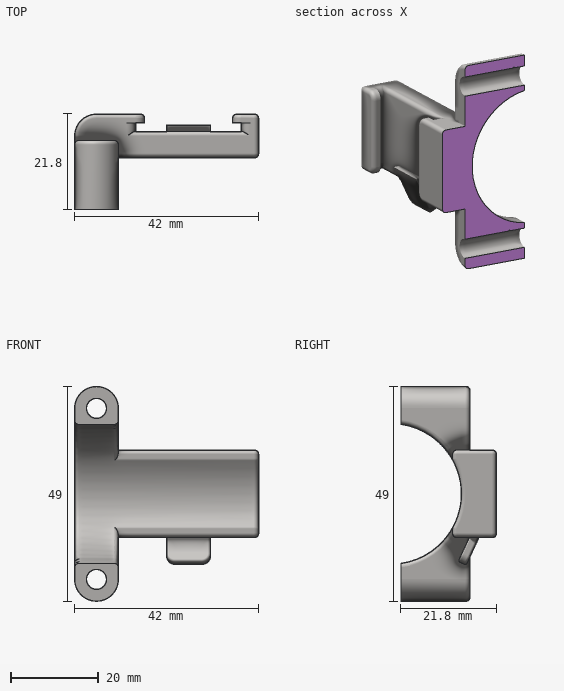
import cadquery as cq
import math

edge_round = 1.0

lug_radius = 5.0
lug_spacing = 39.0
saddle_width = 2 * lug_radius
saddle_depth = 15.8
screw_diameter = 4.5
bore_radius = 16.0
bore_wall = 2.0
bore_axis_y = saddle_depth - bore_wall - bore_radius

arm_length = 42.0
arm_height = 20.0
arm_thickness = 10.0
arm_back_step = 6.0
arm_back_y = saddle_depth + arm_back_step
arm_front_y = arm_back_y - arm_thickness
arm_side_z = arm_height / 2
arm_corner_radius = 5.0

slot_start_x = 14.0
slot_end_x = 38.0
slot_depth = 4.0
slot_floor_y = arm_back_y - slot_depth
wall_flare = 2.0
floor_flare = 1.0
hook_reach = 2.0
hook_thickness = 2.0
hook_inner_y = arm_back_y - hook_thickness
hook_corner_radius = 2.0
mouth_start_x = slot_start_x + hook_reach
mouth_end_x = slot_end_x - hook_reach

tab_start_x = 21.0
tab_width = 10.0
tab_thickness = 2.0
tab_tilt = 25.0
tab_hang = 6.9
tab_root = 2.0
tab_corner_radius = 2.0
tab_edge_round = 0.5
catch_rise = 1.5

pick_margin = 0.01


def arm_block(start_x, end_x, front_y, back_y):
    """Block as tall as the arm, centred on Z = 0."""
    block = cq.Workplane("XY").box(
        end_x - start_x, back_y - front_y, arm_height, centered=(False, False, True)
    )
    return block.translate((start_x, front_y, 0))


def make_saddle():
    """Upright plate with a full round at each end."""
    plate = cq.Workplane("XZ", origin=(lug_radius, 0, 0))
    return plate.slot2D(lug_spacing + saddle_width, saddle_width, 90).extrude(-saddle_depth)


def make_arm():
    """Plain arm with one large rounded corner behind the saddle."""
    arm = arm_block(0, arm_length, arm_front_y, arm_back_y)
    return arm.edges("<X and >Y").fillet(arm_corner_radius)


def make_bore():
    """Cylinder that hollows the saddle and the front of the arm."""
    bore = cq.Workplane("YZ", origin=(0, bore_axis_y, 0))
    return bore.circle(bore_radius).extrude(arm_length)


def flared_slot(plane, low, high, flare):
    """Outline from low to high, as tall as the arm, widened at both ends by quarter rounds."""
    straight_z = arm_side_z - flare
    bulge = flare * math.sqrt(0.5)
    return (
        cq.Workplane(plane)
        .moveTo(low, -straight_z)
        .lineTo(low, straight_z)
        .threePointArc((low - flare + bulge, straight_z + bulge), (low - flare, arm_side_z))
        .lineTo(high + flare, arm_side_z)
        .threePointArc((high + flare - bulge, straight_z + bulge), (high, straight_z))
        .lineTo(high, -straight_z)
        .threePointArc((high + flare - bulge, -straight_z - bulge), (high + flare, -arm_side_z))
        .lineTo(low - flare, -arm_side_z)
        .threePointArc((low - flare + bulge, -straight_z - bulge), (low, -straight_z))
        .close()
    )


def make_mouth():
    """Opening between the hooks, whose corners are rounded."""
    mouth = flared_slot("XZ", mouth_start_x, mouth_end_x, hook_corner_radius).extrude(-arm_back_y)
    return mouth.intersect(arm_block(0, arm_length, hook_inner_y, arm_back_y))


def make_undercut():
    """Wide part of the slot, flared in X by its walls and in Y by its floor."""
    walls = flared_slot("XZ", slot_start_x, slot_end_x, wall_flare).extrude(-arm_back_y)
    floor = flared_slot("YZ", slot_floor_y, arm_back_y, floor_flare).extrude(arm_length)
    return walls.intersect(floor).intersect(arm_block(0, arm_length, arm_front_y, hook_inner_y))


def is_at(low, high, position):
    """True if the range from low to high lies at one position."""
    return max(abs(low - position), abs(high - position)) < pick_margin


def is_arm_front_edge(box):
    """True for the edges that run along the front of the arm."""
    return is_at(box.ymin, box.ymax, arm_front_y) and box.xlen > saddle_width


def is_bore_side_edge(edge):
    """True for the bore's rim on the inner side of the saddle and its edges along the arm."""
    box = edge.BoundingBox()
    inner_rim = is_at(box.xmin, box.xmax, saddle_width) and edge.geomType() == "CIRCLE"
    along_arm = is_arm_front_edge(box) and abs(box.zmax) < arm_side_z - pick_margin
    return inner_rim or along_arm


def is_outer_edge(edge):
    """True for the outer edges of the saddle and the ends and front of the arm."""
    box = edge.BoundingBox()
    at_left_end = is_at(box.xmin, box.xmax, 0)
    left_rim = at_left_end and edge.geomType() == "CIRCLE"
    left_step = at_left_end and box.ymin > saddle_depth - pick_margin and box.ylen > pick_margin
    right_end = is_at(box.xmin, box.xmax, arm_length)
    arm_front = is_arm_front_edge(box) and is_at(abs(box.zmin), abs(box.zmax), arm_side_z)
    beside_arm = max(abs(box.zmin), abs(box.zmax)) > arm_side_z + pick_margin
    saddle_back = is_at(box.ymin, box.ymax, saddle_depth) and beside_arm
    return left_rim or left_step or right_end or arm_front or saddle_back


def is_back_edge(edge):
    """True for the edges around the back face of the arm and its large rounded corner."""
    box = edge.BoundingBox()
    reaches_back = box.ymax > arm_back_y - pick_margin
    corner_seam = is_at(box.xmin, box.xmax, arm_corner_radius)
    hook_side = box.xlen < pick_margin and box.zlen < pick_margin
    return reaches_back and not corner_seam and not hook_side


def round_edges(body, is_wanted):
    edges = [edge for edge in body.edges().vals() if is_wanted(edge)]
    return body.newObject(edges).fillet(edge_round)


def is_remaining_edge(edge):
    return is_outer_edge(edge) or is_back_edge(edge)


def make_tab():
    """Slanted plate with two rounded lower corners and softened edges."""
    length = tab_hang + tab_root
    plate = cq.Workplane("XY").box(tab_width, tab_thickness, length, centered=False)
    plate = plate.edges("<Z and |Y").fillet(tab_corner_radius)
    plate = plate.faces("<Y or >Y").edges("not >Z").fillet(tab_edge_round)
    plate = plate.translate((tab_start_x, -tab_thickness, -tab_hang))
    plate = plate.rotate((0, 0, 0), (1, 0, 0), -tab_tilt)
    return plate.translate((0, slot_floor_y, -arm_side_z))


def make_catch():
    """Ramp that carries on the slope of the tab and drops straight to the slot floor."""
    ramp_length = catch_rise / math.tan(math.radians(tab_tilt))
    base_y = slot_floor_y - floor_flare
    top_z = ramp_length - arm_side_z
    return (
        cq.Workplane("YZ", origin=(tab_start_x, 0, 0))
        .moveTo(base_y, -arm_side_z)
        .lineTo(slot_floor_y, -arm_side_z)
        .lineTo(slot_floor_y + catch_rise, top_z)
        .lineTo(base_y, top_z)
        .close()
        .extrude(tab_width)
    )


def drill_screw_holes(body):
    lugs = cq.Workplane("XZ", origin=(lug_radius, 0, 0)).rarray(1, lug_spacing, 1, 2)
    return body.cut(lugs.circle(screw_diameter / 2).extrude(-saddle_depth))


frame = make_saddle().union(make_arm()).cut(make_bore()).cut(make_mouth())
frame = round_edges(frame, is_bore_side_edge)
frame = round_edges(frame, is_remaining_edge)
frame = frame.cut(make_undercut())
frame = drill_screw_holes(frame)
result = frame.union(make_tab()).union(make_catch())